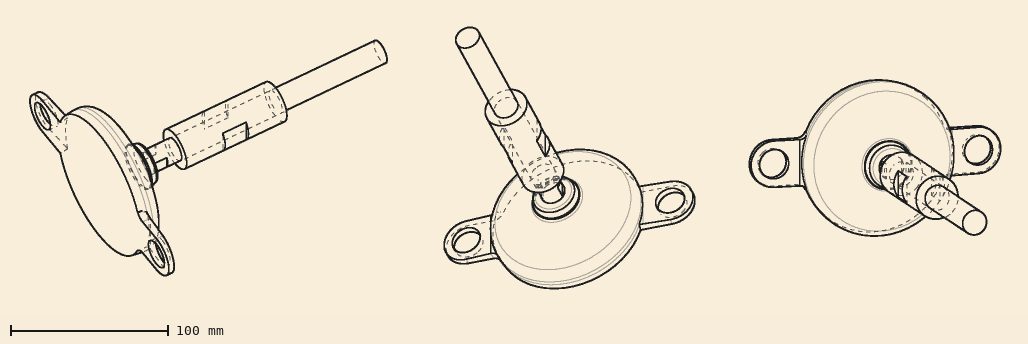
import cadquery as cq
import math


foot_radius = 50.0
sole_radius = 49.1
rim_height = 5.9
wall_top = 9.0
shoulder_radius = 7.5
cone_angle = 22.5
cone_top_radius = 17.0

neck_radius = 15.3
neck_base_height = 28.4
collar_base_radius = 15.8
collar_base_height = 29.6
collar_edge_radius = 13.9
collar_height = 35.7
collar_rounding = 1.7

lug_reach = 83.0
lug_width = 30.0
lug_tip_height = 4.0
lug_hole_diameter = 19.0
lug_root_fillet = 5.7

total_length = 210.0
spindle_diameter = 16.0
spindle_flat_width = 13.0
spindle_flat_bottom = 36.8
spindle_flat_top = 46.2

sleeve_diameter = 28.0
sleeve_bottom = 56.5
sleeve_length = 75.0
sleeve_flat_width = 22.0
sleeve_flat_length = 17.5


def plane_at_height(height):
    """Workplane at Y = height whose normal points along +Y and whose local Y is -Z."""
    return cq.Workplane(cq.Plane((0, height, 0), xDir=(1, 0, 0), normal=(0, 1, 0)))


def rod(diameter, bottom, top):
    return plane_at_height(bottom).circle(diameter / 2).extrude(top - bottom)


def foot_profile_body():
    """Revolved foot: tapered rim, wall, rounded shoulder, cone and collar."""
    slope = math.radians(cone_angle)
    arc_centre_x = foot_radius - shoulder_radius
    end_direction = math.pi / 2 - slope
    middle_direction = end_direction / 2
    arc_middle = (
        arc_centre_x + shoulder_radius * math.cos(middle_direction),
        wall_top + shoulder_radius * math.sin(middle_direction),
    )
    arc_end = (
        arc_centre_x + shoulder_radius * math.cos(end_direction),
        wall_top + shoulder_radius * math.sin(end_direction),
    )
    cone_top = arc_end[1] + (arc_end[0] - cone_top_radius) * math.tan(slope)
    return (
        cq.Workplane("XY")
        .lineTo(sole_radius, 0)
        .lineTo(foot_radius, rim_height)
        .lineTo(foot_radius, wall_top)
        .threePointArc(arc_middle, arc_end)
        .lineTo(cone_top_radius, cone_top)
        .lineTo(neck_radius, neck_base_height)
        .lineTo(neck_radius, collar_base_height)
        .lineTo(collar_base_radius, collar_base_height)
        .lineTo(collar_edge_radius, collar_height - collar_rounding)
        .radiusArc((collar_edge_radius - collar_rounding, collar_height), -collar_rounding)
        .lineTo(0, collar_height)
        .close()
        .revolve(360, (0, 0, 0), (0, 1, 0))
    )


def lug_plate():
    """Round-ended plate through the foot, thinning from the rim to both tips."""
    outline = plane_at_height(0).slot2D(2 * lug_reach, lug_width).extrude(rim_height)
    thinning = (
        cq.Workplane("XY")
        .moveTo(-lug_reach, 0)
        .lineTo(lug_reach, 0)
        .lineTo(lug_reach, lug_tip_height)
        .lineTo(foot_radius, rim_height)
        .lineTo(-foot_radius, rim_height)
        .lineTo(-lug_reach, lug_tip_height)
        .close()
        .extrude(lug_width / 2, both=True)
    )
    return outline.intersect(thinning)


def root_fillets():
    """Concave blends between the rim and the two sides of the +X lug."""
    mean_rim_radius = (sole_radius + foot_radius) / 2
    centre_z = lug_width / 2 + lug_root_fillet
    centre_distance = mean_rim_radius + lug_root_fillet
    centre_x = math.sqrt(centre_distance**2 - centre_z**2)
    touch_x = centre_x * mean_rim_radius / centre_distance
    touch_z = centre_z * mean_rim_radius / centre_distance
    inner_x = touch_x - lug_root_fillet
    blends = (
        plane_at_height(0)
        .moveTo(inner_x, -touch_z)
        .lineTo(touch_x, -touch_z)
        .lineTo(centre_x, -lug_width / 2)
        .lineTo(centre_x, lug_width / 2)
        .lineTo(touch_x, touch_z)
        .lineTo(inner_x, touch_z)
        .close()
        .extrude(rim_height)
    )
    rounds = (
        plane_at_height(0)
        .pushPoints([(centre_x, centre_z), (centre_x, -centre_z)])
        .circle(lug_root_fillet)
        .extrude(rim_height)
    )
    return blends.cut(rounds)


def make_foot():
    """Revolved foot with both drilled lugs."""
    hole_x = lug_reach - lug_width / 2
    holes = (
        plane_at_height(0)
        .pushPoints([(-hole_x, 0), (hole_x, 0)])
        .circle(lug_hole_diameter / 2)
        .extrude(rim_height)
    )
    return foot_profile_body().union(lug_plate()).union(root_fillets()).cut(holes)


def cut_wrench_flats(body, diameter, flat_width, bottom, top):
    """Cut two opposite flats, facing -X and +X, between two heights."""
    depth = (diameter - flat_width) / 2
    for side in (-1, 1):
        cutter = cq.Workplane("XY").box(depth, top - bottom, diameter)
        body = body.cut(cutter.translate((side * (flat_width + depth) / 2, (bottom + top) / 2, 0)))
    return body


def make_spindle():
    """Plain rod rising from the collar, with a pair of flats at its foot."""
    stem = rod(spindle_diameter, collar_height, total_length)
    return cut_wrench_flats(
        stem, spindle_diameter, spindle_flat_width, spindle_flat_bottom, spindle_flat_top
    )


def make_sleeve():
    """Tube around the spindle with a pair of flats at mid length."""
    sleeve_top = sleeve_bottom + sleeve_length
    sleeve_middle = (sleeve_bottom + sleeve_top) / 2
    tube = rod(sleeve_diameter, sleeve_bottom, sleeve_top).cut(
        rod(spindle_diameter, sleeve_bottom, sleeve_top)
    )
    return cut_wrench_flats(
        tube,
        sleeve_diameter,
        sleeve_flat_width,
        sleeve_middle - sleeve_flat_length / 2,
        sleeve_middle + sleeve_flat_length / 2,
    )


foot_with_spindle = make_foot().union(make_spindle())
sleeve = make_sleeve()

result = cq.Compound.makeCompound([foot_with_spindle.solids().val(), sleeve.solids().val()])